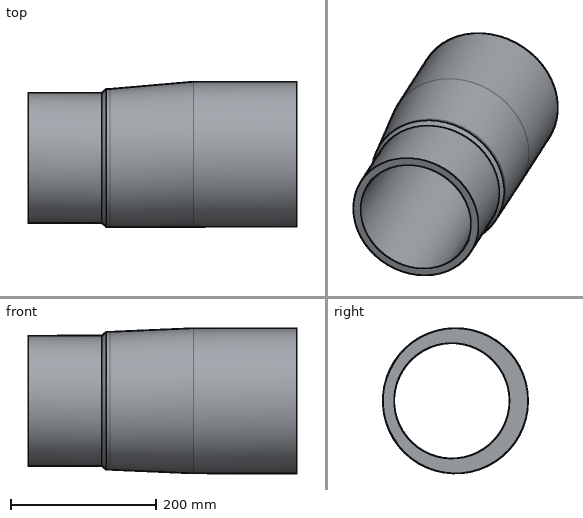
import cadquery as cq

length = 370.0
large_radius = 100.1
small_radius = 90.0
collar_radius = 95.0
bore_radius = 79.0

chamfer_start = 101.8
collar_start = 107.5
taper_start = 112.5
taper_end = 227.0

small_axis_y = collar_radius - large_radius


def circle_at(x, radius, axis_y):
    """Workplane holding a circle normal to X, centred on (axis_y, 0)."""
    return cq.Workplane("YZ", origin=(x, axis_y, 0)).circle(radius)


def cylinder(start, end, radius, axis_y):
    return circle_at(start, radius, axis_y).extrude(end - start)


def taper(start, end, start_section, end_section):
    """Ruled transition between two (radius, axis_y) sections."""
    start_wire = cq.Wire.makeCircle(
        start_section[0], cq.Vector(start, start_section[1], 0), cq.Vector(1, 0, 0)
    )
    end_wire = cq.Wire.makeCircle(
        end_section[0], cq.Vector(end, end_section[1], 0), cq.Vector(1, 0, 0)
    )
    return cq.Workplane(cq.Solid.makeLoft([start_wire, end_wire], True))


small_section = (small_radius, small_axis_y)
collar_section = (collar_radius, small_axis_y)
large_section = (large_radius, 0)

small_pipe = cylinder(0, chamfer_start, *small_section)
chamfer = taper(chamfer_start, collar_start, small_section, collar_section)
collar = cylinder(collar_start, taper_start, *collar_section)
eccentric_taper = taper(taper_start, taper_end, collar_section, large_section)
large_pipe = cylinder(taper_end, length, *large_section)
body = small_pipe.union(chamfer).union(collar).union(eccentric_taper).union(large_pipe)

bore = cylinder(0, length, bore_radius, small_axis_y)
result = body.cut(bore)